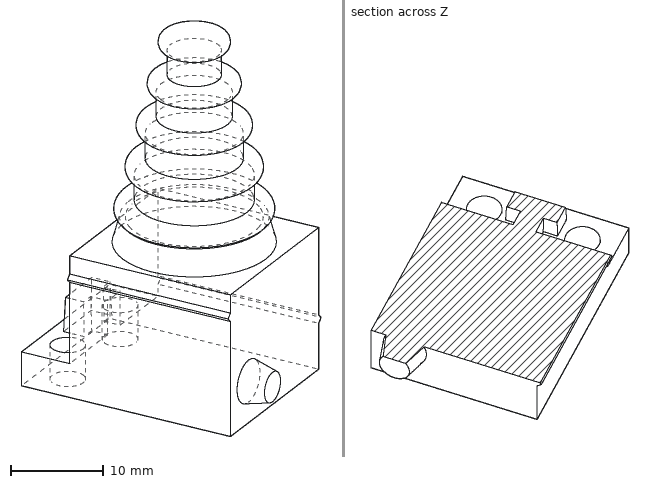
import cadquery as cq
import math

body_length = 20.0
body_width = 19.5
body_height = 17.0
body_half_length = body_length / 2
body_half_width = body_width / 2

flange_length = 6.0
flange_height = 4.07
flange_end_x = -body_half_length - flange_length
hole_diameter = 3.85
hole_edge_distance = 3.53
hole_offset_y = 5.75

key_height = 4.07
key_head_length = 2.55
key_head_width = 6.1
key_stem_width = 2.75
key_edge_distance = 1.45
key_draft_inset = 0.145

ridge_depth = 0.5
front_ridge_z = 14.32
back_ridge_z = 6.0

outlet_base_radius = 2.5
outlet_end_radius = 1.75
outlet_length = 3.0
outlet_y = -hole_offset_y
outlet_z = 5.0

skirt_base_radius = 8.9
skirt_top_radius = 8.1
ring_count = 5
ring_pitch = 5.0
ring_edge_radius = 1.0
ring_height = 2 * ring_edge_radius
total_height = 42.0
top_core_radius = 2.95
lowest_neck_radius = 6.5
core_radius_step = (lowest_neck_radius - top_core_radius) / (ring_count - 2)
lowest_core_radius = 7.48
lowest_outer_radius = 8.75


def make_base():
    """Housing block and flange with its two mounting holes."""
    body = cq.Workplane("XY").box(body_length, body_width, body_height, centered=(True, True, False))
    flange = (
        cq.Workplane("XY")
        .box(flange_length, body_width, flange_height, centered=(False, True, False))
        .translate((flange_end_x, 0, 0))
    )
    hole_x = flange_end_x + hole_edge_distance
    holes = (
        cq.Workplane("XY")
        .pushPoints([(hole_x, -hole_offset_y), (hole_x, hole_offset_y)])
        .circle(hole_diameter / 2)
        .extrude(flange_height)
    )
    return body.union(flange).cut(holes)


def make_key():
    """Drafted T head, joined to the housing by a straight stem."""
    head_center_x = flange_end_x + key_edge_distance + key_head_length / 2
    draft_angle = math.degrees(math.atan2(key_draft_inset, key_height))
    head = (
        cq.Workplane("XY", origin=(head_center_x, 0, flange_height))
        .rect(key_head_length, key_head_width)
        .extrude(key_height, taper=draft_angle)
    )
    stem = (
        cq.Workplane("XY", origin=(head_center_x, 0, flange_height))
        .box(-body_half_length - head_center_x, key_stem_width, key_height, centered=(False, True, False))
    )
    return head.union(stem)


def make_ridge(side, center_z):
    """Ridge on the -Y (side = -1) or +Y (side = 1) face."""
    wall_y = side * body_half_width
    profile = [
        (wall_y, center_z - ridge_depth),
        (wall_y + side * ridge_depth, center_z),
        (wall_y, center_z + ridge_depth),
    ]
    return cq.Workplane("YZ").polyline(profile).close().extrude(body_half_length, both=True)


def make_outlet():
    """Cone narrowing away from the housing."""
    return (
        cq.Workplane("YZ", origin=(body_half_length, outlet_y, outlet_z))
        .circle(outlet_base_radius)
        .workplane(offset=outlet_length)
        .circle(outlet_end_radius)
        .loft()
    )


def make_bellows():
    """Half profile, from the skirt up to the top ring, revolved about Z."""
    lowest_ring_z = total_height - ring_height - (ring_count - 1) * ring_pitch
    profile = (
        cq.Workplane("XZ")
        .moveTo(0, body_height)
        .lineTo(skirt_base_radius, body_height)
        .lineTo(skirt_top_radius, lowest_ring_z)
    )
    for index in range(ring_count):
        core_radius = top_core_radius + (ring_count - 1 - index) * core_radius_step
        ring_z = lowest_ring_z + index * ring_pitch
        edge_depth = ring_edge_radius
        if index == 0:
            core_radius = lowest_core_radius
            edge_depth = lowest_outer_radius - lowest_core_radius
        profile = (
            profile.lineTo(core_radius, ring_z)
            .ellipseArc(edge_depth, ring_edge_radius, -90, 90)
        )
        if index < ring_count - 1:
            neck_radius = top_core_radius + (ring_count - 2 - index) * core_radius_step
            profile = profile.lineTo(neck_radius, ring_z + ring_height)
    return profile.lineTo(0, total_height).close().revolve(360, (0, 0, 0), (0, 1, 0))


result = (
    make_base()
    .union(make_key())
    .union(make_ridge(-1, front_ridge_z))
    .union(make_ridge(1, back_ridge_z))
    .union(make_outlet())
    .union(make_bellows())
)